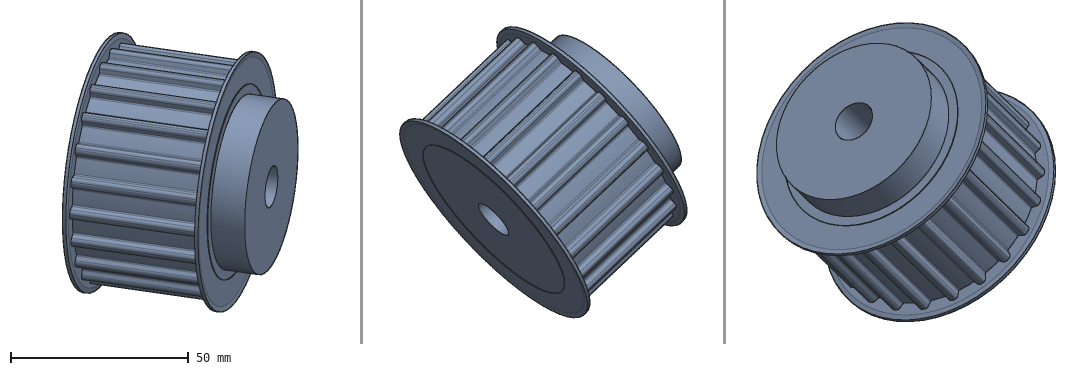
import cadquery as cq
import math


pulley_width = 40.0
overall_length = 50.0

flange_radius = 37.0
flange_thickness = 1.0
bend_radius = 35.5
bend_offset = 0.2
toothed_start = bend_offset + flange_thickness
toothed_width = pulley_width - 2 * toothed_start

seat_radius = 27.9
hub_radius = 25.0
bore_radius = 6.0

tooth_count = 22
tip_radius = 34.1
root_radius = 31.75
flank_angle = 17.0
tip_half_width = 1.2
tip_fillet = 1.2
root_fillet = 0.45
tooth_embed = 1.5


def disc(radius, start, length):
    """Cylinder on the X axis from the given start."""
    return cq.Workplane("YZ", origin=(start, 0, 0)).circle(radius).extrude(length)


def tooth():
    """One trapezoid tooth pointing along +Y, with rounded tip corners and its foot inside the core."""
    foot_radius = root_radius - tooth_embed
    foot_half_width = tip_half_width + (tip_radius - foot_radius) * math.tan(math.radians(flank_angle))
    return (
        cq.Workplane("YZ", origin=(toothed_start, 0, 0))
        .moveTo(foot_radius, -foot_half_width)
        .lineTo(tip_radius, -tip_half_width)
        .lineTo(tip_radius, tip_half_width)
        .lineTo(foot_radius, foot_half_width)
        .close()
        .extrude(toothed_width)
        .faces(">Y")
        .edges("|X")
        .fillet(tip_fillet)
    )


def toothed_core():
    """Root cylinder with all teeth, the first one pointing along +Y, blended at the roots."""
    core = disc(root_radius, toothed_start, toothed_width)
    single_tooth = tooth()
    for index in range(tooth_count):
        angle = index * 360 / tooth_count
        core = core.union(single_tooth.rotate((0, 0, 0), (1, 0, 0), angle))
    root_edges = core.edges("|X").filter(
        lambda edge: math.hypot(edge.Center().y, edge.Center().z) < root_radius + root_fillet
    )
    return root_edges.fillet(root_fillet)


def flange():
    """Dished flange at the -X end: flat disc, bent rim and a low round seat level with the rim."""
    profile = (
        cq.Workplane("XY")
        .moveTo(bend_offset, 0)
        .lineTo(bend_offset, bend_radius)
        .lineTo(0, flange_radius)
        .lineTo(flange_thickness, flange_radius)
        .lineTo(toothed_start, bend_radius)
        .lineTo(toothed_start, 0)
        .close()
    )
    sheet = profile.revolve(360, (0, 0, 0), (1, 0, 0))
    return sheet.union(disc(seat_radius, 0, bend_offset))


near_flange = flange()
far_flange = near_flange.mirror("YZ").translate((pulley_width, 0, 0))
hub_start = pulley_width - toothed_start
hub = disc(hub_radius, hub_start, overall_length - hub_start)
bore = disc(bore_radius, 0, overall_length)

result = toothed_core().union(near_flange).union(far_flange).union(hub).cut(bore)